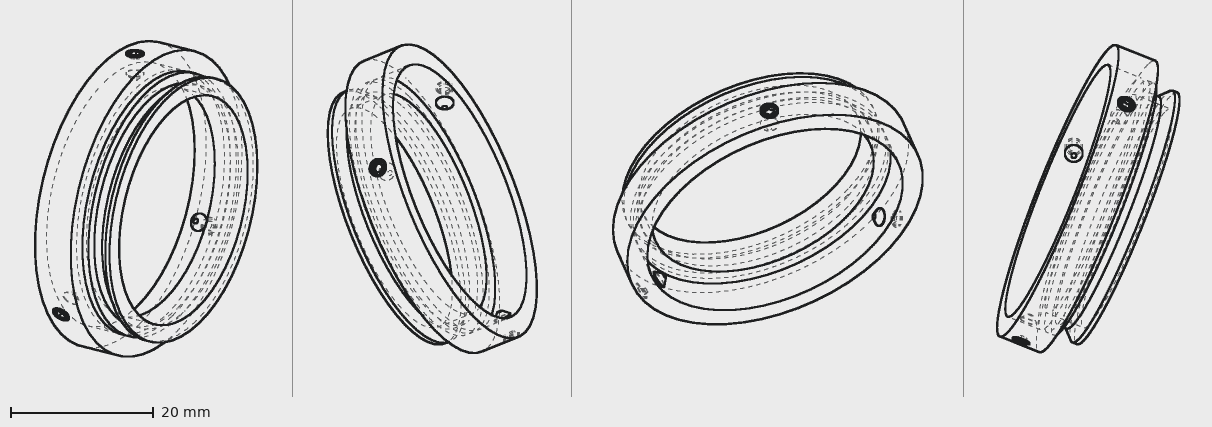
import cadquery as cq
import math

flange_diameter = 44.0
dovetail_diameter = 38.0
neck_diameter = 35.02
bore_diameter = 33.0

flange_end = 6.0
shoulder_end = 7.0
neck_end = 8.3
length = 10.5
recess_depth = 5.0

screw_count = 3
screw_x = 2.4
screw_diameter = 2.5
screw_length = 4.0
screw_tip_diameter = 0.7
screw_head_diameter = 2.05
screw_head_height = 0.1
socket_across_flats = 1.3
socket_depth = 0.6
socket_turn = -10.0

flange_radius = flange_diameter / 2
dovetail_radius = dovetail_diameter / 2
neck_radius = neck_diameter / 2
bore_radius = bore_diameter / 2
screw_radius = screw_diameter / 2
screw_tip_radius = screw_tip_diameter / 2
screw_head_radius = screw_head_diameter / 2

flank_end = neck_end + dovetail_radius - neck_radius
tip_z = flange_radius - screw_length
cone_base_z = tip_z + screw_radius - screw_tip_radius
head_base_z = flange_radius - screw_head_height


def make_ring():
    """Revolve the stepped ring section, given as (X, radius), about the X axis."""
    section = [
        (0, dovetail_radius),
        (0, flange_radius),
        (flange_end, flange_radius),
        (flange_end, dovetail_radius),
        (shoulder_end, dovetail_radius),
        (shoulder_end, neck_radius),
        (neck_end, neck_radius),
        (flank_end, dovetail_radius),
        (length, dovetail_radius),
        (length, bore_radius),
        (recess_depth, bore_radius),
        (recess_depth, dovetail_radius),
    ]
    return cq.Workplane("XY").polyline(section).close().revolve(360, (0, 0, 0), (1, 0, 0))


def make_screw():
    """Set screw pointing down at the ring axis, with its head at the top of the flange."""
    half_section = [
        (0, tip_z),
        (screw_tip_radius, tip_z),
        (screw_radius, cone_base_z),
        (screw_radius, head_base_z),
        (screw_head_radius, head_base_z),
        (screw_head_radius, flange_radius),
        (0, flange_radius),
    ]
    body = cq.Workplane("XZ").polyline(half_section).close().revolve(360, (0, 0, 0), (0, 1, 0))
    socket_across_corners = socket_across_flats / math.cos(math.pi / 6)
    socket = (
        cq.Workplane("XY")
        .workplane(offset=flange_radius - socket_depth)
        .polygon(6, socket_across_corners)
        .extrude(socket_depth)
        .rotate((0, 0, 0), (0, 0, 1), socket_turn)
    )
    return body.cut(socket).translate((screw_x, 0, 0))


def make_screw_hole():
    """Radial hole from the recess out through the top of the flange."""
    return (
        cq.Workplane("XY")
        .center(screw_x, 0)
        .circle(screw_radius)
        .extrude(flange_radius)
    )


def around_ring(shape, index):
    """Turn a shape at the top of the ring to one of the equally spaced screw places."""
    return shape.rotate((0, 0, 0), (1, 0, 0), index * 360 / screw_count)


result = make_ring()
for index in range(screw_count):
    result = result.cut(around_ring(make_screw_hole(), index))
    result = result.union(around_ring(make_screw(), index))